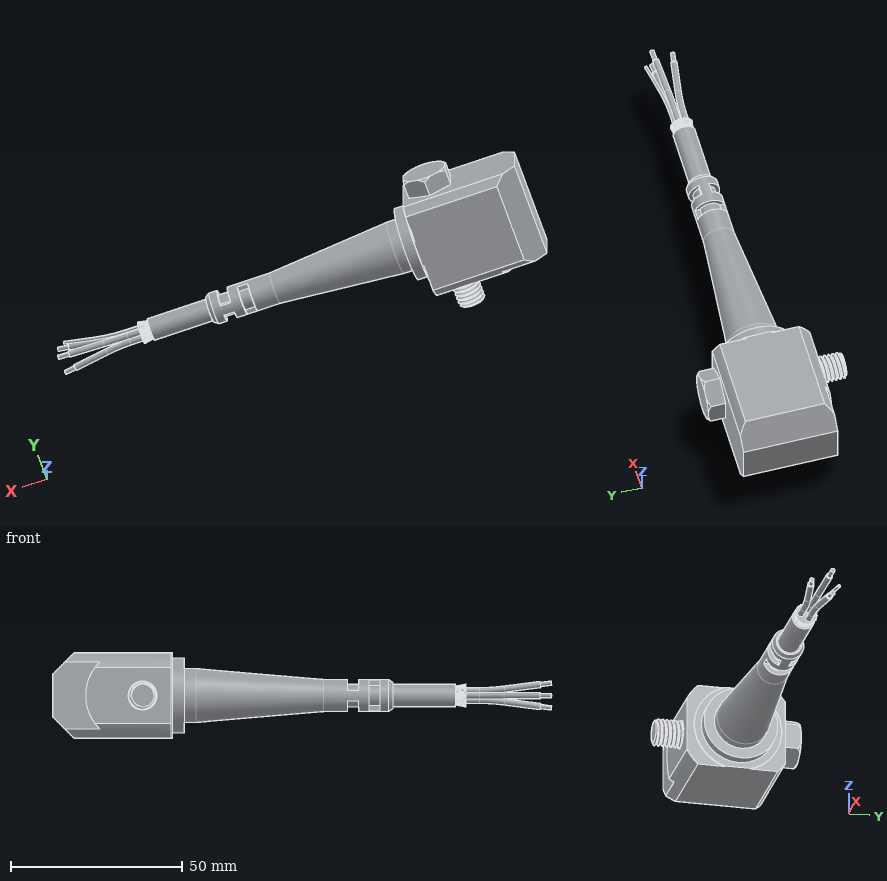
import cadquery as cq
import math


HOUSING_LENGTH = 34.5
HOUSING_HEIGHT = 25.1
TURNED_RADIUS = 17.4
BACK_FACE = 14.3
FRONT_FACE = -14.3
PAD_FACE = -15.3
PAD_ARC_RADIUS = 13.7
PAD_ARC_CENTRE = 23.3
END_CHAMFER = 6.3
SHOULDER_DIAMETER = 26.3
SHOULDER_END = 35.0
FLANGE_DIAMETER = 22.0
FLANGE_END = 38.5

BOLT_X = 26.3
BOLT_HOLE_DIAMETER = 8.5
HEAD_ACROSS_FLATS = 13.0
HEAD_HEIGHT = 5.3
HEAD_CHAMFER = 0.9
THREAD_DIAMETER = 8.0
THREAD_ROOT_DIAMETER = 6.4
THREAD_PITCH = 1.25
GROOVE_ROOT_WIDTH = THREAD_PITCH / 8
GROOVE_OUTSIDE_WIDTH = 1.2
THREAD_START = 15.0
BOLT_TIP = 23.3
TIP_CHAMFER = 0.65
GROOVE_OVERSHOOT = 0.07

BOOT_DIAMETER = 15.9
BOOT_TAPER_START = 41.9
SLEEVE_START = 79.2
SLEEVE_DIAMETER = 9.5
SLEEVE_END = 99.5
SLEEVE_CHAMFER_LENGTH = 1.3
SLEEVE_CHAMFER_DEPTH = 0.9
SLOT_WIDTH = 3.2
SLOT_FLOOR = 1.53
Z_SLOT_START = 86.2
Y_SLOT_START = 92.5

CABLE_DIAMETER = 6.7
CABLE_END = 117.7
BRAID_END = 120.8
BRAID_START_DIAMETER = 5.5
BRAID_END_DIAMETER = 6.7
BRAID_STRANDS = 36
BRAID_GROOVE_DEPTH = 0.3

WIRE_COUNT = 3
WIRE_DIAMETER = 1.9
WIRE_OFFSET = 1.6
WIRE_SLOPE_ANGLE = 8.5
WIRE_INSULATION_END = 142.7
CONDUCTOR_DIAMETER = 1.3
PART_END = 145.9
DRAIN_DIAMETER = 0.9
DRAIN_OFFSET = 1.97
DRAIN_SLOPE_ANGLE = 11.0
DRAIN_END = 143.2
BEND_START = 124.7
BEND_RADIUS = 49.6


def rod(start, end, diameter):
    """Cylinder on the X axis from start to end."""
    return cq.Workplane("YZ", origin=(start, 0, 0)).circle(diameter / 2).extrude(end - start)


def make_housing():
    half_height = HOUSING_HEIGHT / 2
    nose = half_height - END_CHAMFER
    side_outline = [
        (0, -nose),
        (END_CHAMFER, -half_height),
        (SHOULDER_END, -half_height),
        (SHOULDER_END, half_height),
        (END_CHAMFER, half_height),
        (0, nose),
    ]
    flats = (
        cq.Workplane("XZ", origin=(0, BACK_FACE, 0))
        .polyline(side_outline)
        .close()
        .extrude(BACK_FACE - PAD_FACE)
    )
    turned = rod(0, HOUSING_LENGTH, 2 * TURNED_RADIUS)
    shoulder = rod(HOUSING_LENGTH, SHOULDER_END, SHOULDER_DIAMETER)
    return flats.intersect(turned.union(shoulder)).cut(make_pad_recess())


def make_pad_recess():
    """Material taken off the closed end of the -Y face, leaving the arc-edged pad."""
    half_height = HOUSING_HEIGHT / 2
    arc_end_x = PAD_ARC_CENTRE - math.sqrt(PAD_ARC_RADIUS**2 - half_height**2)
    return (
        cq.Workplane("XZ", origin=(0, FRONT_FACE, 0))
        .moveTo(0, -half_height)
        .lineTo(arc_end_x, -half_height)
        .threePointArc((PAD_ARC_CENTRE - PAD_ARC_RADIUS, 0), (arc_end_x, half_height))
        .lineTo(0, half_height)
        .close()
        .extrude(FRONT_FACE - PAD_FACE)
    )


def make_boot():
    """Flange, tapered boot and slotted sleeve."""
    boot_radius = BOOT_DIAMETER / 2
    sleeve_radius = SLEEVE_DIAMETER / 2
    flange_radius = FLANGE_DIAMETER / 2
    profile = [
        (SHOULDER_END, 0),
        (SHOULDER_END, flange_radius),
        (FLANGE_END, flange_radius),
        (FLANGE_END, boot_radius),
        (BOOT_TAPER_START, boot_radius),
        (SLEEVE_START, sleeve_radius),
        (SLEEVE_END - SLEEVE_CHAMFER_LENGTH, sleeve_radius),
        (SLEEVE_END, sleeve_radius - SLEEVE_CHAMFER_DEPTH),
        (SLEEVE_END, 0),
    ]
    boot = cq.Workplane("XY").polyline(profile).close().revolve(360, (0, 0, 0), (1, 0, 0))
    slot = cq.Workplane("XY").box(
        SLOT_WIDTH, SLEEVE_DIAMETER, sleeve_radius, centered=(False, True, False)
    )
    for start, first_angle in ((Z_SLOT_START, 0), (Y_SLOT_START, 90)):
        for angle in (first_angle, first_angle + 180):
            placed = slot.translate((start, 0, SLOT_FLOOR))
            boot = boot.cut(placed.rotate((0, 0, 0), (1, 0, 0), angle))
    return boot


def braid_outline(diameter):
    """Closed ring of pointed strands, alternating between crest and groove."""
    points = []
    for i in range(2 * BRAID_STRANDS):
        radius = diameter / 2 - BRAID_GROOVE_DEPTH * (i % 2)
        angle = math.pi * i / BRAID_STRANDS
        points.append((radius * math.cos(angle), radius * math.sin(angle)))
    return points


def make_braid():
    return (
        cq.Workplane("YZ", origin=(CABLE_END, 0, 0))
        .polyline(braid_outline(BRAID_START_DIAMETER))
        .close()
        .workplane(offset=BRAID_END - CABLE_END)
        .polyline(braid_outline(BRAID_END_DIAMETER))
        .close()
        .loft(ruled=True)
    )


def make_wire(diameter, offset, slope_angle, end):
    """Wire towards -Y that runs straight, bends away from the axis, and stops at X = end."""
    slope = math.radians(slope_angle)
    radius = diameter / 2
    bend_middle = (
        BEND_START + BEND_RADIUS * math.sin(slope / 2),
        -offset - BEND_RADIUS * (1 - math.cos(slope / 2)),
    )
    bend_end = (
        BEND_START + BEND_RADIUS * math.sin(slope),
        -offset - BEND_RADIUS * (1 - math.cos(slope)),
    )
    run = end - radius * math.sin(slope) - bend_end[0]
    path = (
        cq.Workplane("XY")
        .moveTo(BRAID_END, -offset)
        .lineTo(BEND_START, -offset)
        .threePointArc(bend_middle, bend_end)
        .line(run, -run * math.tan(slope))
    )
    return cq.Workplane("YZ", origin=(BRAID_END, -offset, 0)).circle(radius).sweep(path)


def make_sensor():
    sensor = make_housing().union(make_boot()).union(rod(SHOULDER_END, CABLE_END, CABLE_DIAMETER))
    bolt_hole = (
        cq.Workplane("XZ", origin=(BOLT_X, BACK_FACE, 0))
        .circle(BOLT_HOLE_DIAMETER / 2)
        .extrude(BACK_FACE - PAD_FACE)
    )
    sensor = sensor.cut(bolt_hole).union(make_braid())

    insulation = make_wire(WIRE_DIAMETER, WIRE_OFFSET, WIRE_SLOPE_ANGLE, WIRE_INSULATION_END)
    conductor = make_wire(CONDUCTOR_DIAMETER, WIRE_OFFSET, WIRE_SLOPE_ANGLE, PART_END)
    wire = insulation.union(conductor)
    for i in range(WIRE_COUNT):
        sensor = sensor.union(wire.rotate((0, 0, 0), (1, 0, 0), i * 360 / WIRE_COUNT))

    drain = make_wire(DRAIN_DIAMETER, DRAIN_OFFSET, DRAIN_SLOPE_ANGLE, DRAIN_END)
    return sensor.union(drain.rotate((0, 0, 0), (1, 0, 0), 180))


def bolt_rod(diameter, tip):
    """Cylinder on the Z axis from under the bolt head to the given tip."""
    return cq.Workplane("XY", origin=(0, 0, -BACK_FACE)).circle(diameter / 2).extrude(tip + BACK_FACE)


def make_thread_groove():
    """Helical V groove from just inside the bolt hole to past the tip, on the Z axis."""
    root_radius = THREAD_ROOT_DIAMETER / 2
    outside = THREAD_DIAMETER / 2 + GROOVE_OVERSHOOT
    root_half_width = GROOVE_ROOT_WIDTH / 2
    outside_half_width = GROOVE_OUTSIDE_WIDTH / 2
    length = BOLT_TIP + THREAD_PITCH - THREAD_START
    helix = cq.Wire.makeHelix(
        THREAD_PITCH, length, root_radius, center=cq.Vector(0, 0, THREAD_START)
    )
    return (
        cq.Workplane("XZ")
        .polyline([
            (root_radius, THREAD_START - root_half_width),
            (outside, THREAD_START - outside_half_width),
            (outside, THREAD_START + outside_half_width),
            (root_radius, THREAD_START + root_half_width),
        ])
        .close()
        .sweep(cq.Workplane(obj=helix), isFrenet=True)
    )


def make_bolt():
    """Hex bolt, made on the Z axis with its tip up, then turned to point towards -Y."""
    head_top = -BACK_FACE - HEAD_HEIGHT
    corner_diameter = HEAD_ACROSS_FLATS / math.cos(math.pi / 6)
    head = (
        cq.Workplane("XY", origin=(0, 0, head_top))
        .polygon(6, corner_diameter)
        .extrude(HEAD_HEIGHT)
        .rotate((0, 0, 0), (0, 0, 1), 90)
    )
    head_limit = (
        cq.Workplane("XY", origin=(0, 0, head_top))
        .circle(corner_diameter / 2)
        .extrude(HEAD_HEIGHT)
        .faces("<Z")
        .chamfer(HEAD_CHAMFER)
    )
    shank = bolt_rod(THREAD_DIAMETER, BOLT_TIP).faces(">Z").chamfer(TIP_CHAMFER)
    threaded = shank.cut(make_thread_groove())
    bolt = head.intersect(head_limit).union(threaded)
    return bolt.rotate((0, 0, 0), (1, 0, 0), 90).translate((BOLT_X, 0, 0))


sensor = make_sensor()
bolt = make_bolt()
result = cq.Compound.makeCompound([sensor.solids().val(), bolt.solids().val()])